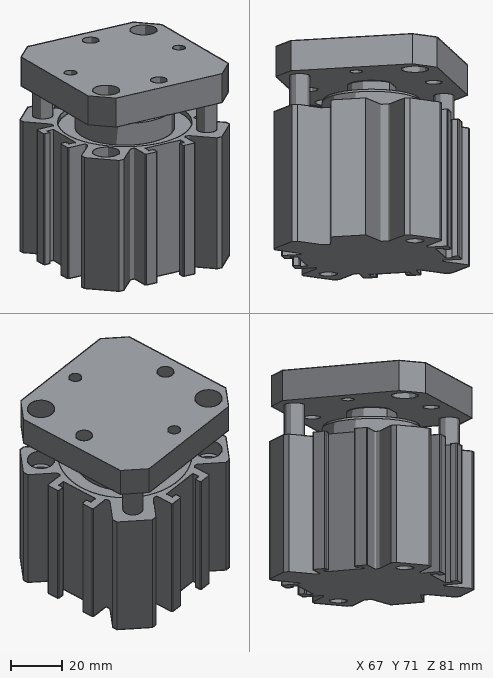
import cadquery as cq
import math


total_height = 81.0
plate_thickness = 12.15
housing_height = 55.0
plate_bottom = total_height - plate_thickness

housing_width = 67.0
housing_side = housing_width / 2
corner_chamfer = 9.8
foot_start = 21.5
rib_wall = 11.5
pocket_corner = 13.45
leg_rise = foot_start - pocket_corner
pocket_floor = housing_side - leg_rise
wall_fillet = 0.6
leg_fillet = 1.45
rib_chamfer = 0.4
cutter_margin = 0.8
outside = housing_side + cutter_margin

slot_mouth_half = 6.0
slot_cavity_half = 8.1
lip_thickness = 2.75
slot_floor = 27.9

overall_depth = 71.0
rail_top = overall_depth - housing_side
rail_top_half = 7.0
rail_taper = math.radians(15)

recess_diameter = 52.5
recess_depth = 2.0
collar_diameter = 39.0
collar_height = 8.0
collar_chamfer_height = 1.0
collar_chamfer_width = 0.5
collar_top = housing_height + collar_height

corner_offset = 23.25
bolt_hole_diameter = 7.0
counterbore_diameter = 10.5
counterbore_depth = 6.5
guide_rod_diameter = 8.0
bolt_corners = [(-corner_offset, corner_offset), (corner_offset, -corner_offset)]
guide_corners = [(-corner_offset, -corner_offset), (corner_offset, corner_offset)]

plate_width = 65.0
plate_chamfer = 8.0
plate_hole_offset = 25.0
x_hole_diameter = 6.5
y_hole_diameter = 4.95

rod_diameter = 20.0
flats_width = 17.0
flats_height = 4.4
rod_chamfer = 0.3


def turned(shape, angle):
    """Turn a shape about the Z axis."""
    return shape.rotate((0, 0, 0), (0, 0, 1), angle)


def chamfered_block(width, height, chamfer):
    """Square block with its four vertical edges chamfered."""
    block = cq.Workplane("XY").box(width, width, height, centered=(True, True, False))
    return block.edges("|Z").chamfer(chamfer)


def prism(points):
    """Housing-high prism over a closed outline."""
    return cq.Workplane("XY").polyline(points).close().extrude(housing_height)


def both_halves(shape):
    """A shape together with its mirror image across the YZ plane."""
    return shape.union(shape.mirror("YZ"))


def leg_pocket(wall_at_floor, wall_at_outside):
    """Pocket between a wall and the 45-degree side of a corner leg, on the +Y side."""
    leg_corner = (pocket_corner, pocket_floor, housing_height / 2)
    pocket = prism([
        (wall_at_floor, pocket_floor),
        (pocket_corner, pocket_floor),
        (foot_start + cutter_margin, outside),
        (wall_at_outside, outside),
    ])
    pocket = pocket.edges("|Z").edges("<Y").edges("<X").fillet(wall_fillet)
    return pocket.edges(cq.selectors.NearestToPointSelector(leg_corner)).fillet(leg_fillet)


def rib_edge_chamfer(wall, direction):
    """Wedge that breaks the outer edge of a rib; the rib lies toward direction from its wall."""
    return prism([
        (wall, housing_side - rib_chamfer),
        (wall + direction * rib_chamfer, housing_side),
        (wall, housing_side),
    ])


def slotted_side_cutter():
    """Everything removed from a side with a T-slot between two ribs, on the +Y side."""
    lip_bottom = housing_side - lip_thickness
    half_slot = prism([
        (0, slot_floor),
        (slot_cavity_half, slot_floor),
        (slot_cavity_half, lip_bottom),
        (slot_mouth_half, lip_bottom),
        (slot_mouth_half, outside),
        (0, outside),
    ])
    half = half_slot.union(leg_pocket(rib_wall, rib_wall))
    half = half.union(rib_edge_chamfer(rib_wall, -1))
    half = half.union(rib_edge_chamfer(slot_mouth_half, 1))
    return both_halves(half)


def rail_half_width(distance):
    """Half width of the tapered rail at a distance from the axis."""
    return rail_top_half + (rail_top - distance) * math.tan(rail_taper)


def rail():
    """Tapered rail from the pocket floor to beyond the +Y side."""
    base_half = rail_half_width(pocket_floor)
    return prism([
        (-base_half, pocket_floor),
        (base_half, pocket_floor),
        (rail_top_half, rail_top),
        (-rail_top_half, rail_top),
    ])


def make_housing():
    """Slotted housing with its rail, recessed collar and counterbored bolt holes."""
    body = chamfered_block(housing_width, housing_height, corner_chamfer)
    for angle in (90, 180, 270):
        body = body.cut(turned(slotted_side_cutter(), angle))
    rail_side_pocket = leg_pocket(rail_half_width(pocket_floor), rail_half_width(outside))
    body = body.cut(both_halves(rail_side_pocket)).union(rail())

    recess = cq.Workplane("XY", origin=(0, 0, housing_height - recess_depth))
    body = body.cut(recess.circle(recess_diameter / 2).extrude(recess_depth))
    collar = recess.circle(collar_diameter / 2).extrude(recess_depth + collar_height)
    collar = collar.faces(">Z").chamfer(collar_chamfer_height, collar_chamfer_width)
    body = body.union(collar)

    top = cq.Workplane("XY", origin=(0, 0, housing_height)).pushPoints(bolt_corners)
    body = body.cut(top.circle(bolt_hole_diameter / 2).extrude(-housing_height))
    return body.cut(top.circle(counterbore_diameter / 2).extrude(-counterbore_depth))


def make_piston_rod():
    """Piston rod standing on the collar, with flats facing -X and +X under the plate."""
    rod = cq.Workplane("XY", origin=(0, 0, collar_top))
    rod = rod.circle(rod_diameter / 2).extrude(plate_bottom - collar_top)
    rod = rod.faces(">Z").chamfer(rod_chamfer)
    flat_zone = cq.Workplane("XY", origin=(0, 0, plate_bottom))
    cutter_size = 2 * rod_diameter
    around = flat_zone.rect(cutter_size, cutter_size).rect(flats_width, cutter_size)
    return rod.cut(around.extrude(-flats_height))


def make_plate_assembly():
    """Plate with its piston rod and guide rods."""
    plate = chamfered_block(plate_width, plate_thickness, plate_chamfer)
    plate = plate.translate((0, 0, plate_bottom))
    hole_groups = [
        (bolt_corners, counterbore_diameter),
        ([(-plate_hole_offset, 0), (plate_hole_offset, 0)], x_hole_diameter),
        ([(0, -plate_hole_offset), (0, plate_hole_offset)], y_hole_diameter),
    ]
    for centres, diameter in hole_groups:
        holes = cq.Workplane("XY", origin=(0, 0, plate_bottom)).pushPoints(centres)
        plate = plate.cut(holes.circle(diameter / 2).extrude(plate_thickness))
    guides = cq.Workplane("XY", origin=(0, 0, housing_height)).pushPoints(guide_corners)
    guides = guides.circle(guide_rod_diameter / 2).extrude(plate_bottom - housing_height)
    return plate.union(make_piston_rod()).union(guides)


housing = make_housing()
plate_assembly = make_plate_assembly()

result = cq.Compound.makeCompound([housing.val(), plate_assembly.val()])